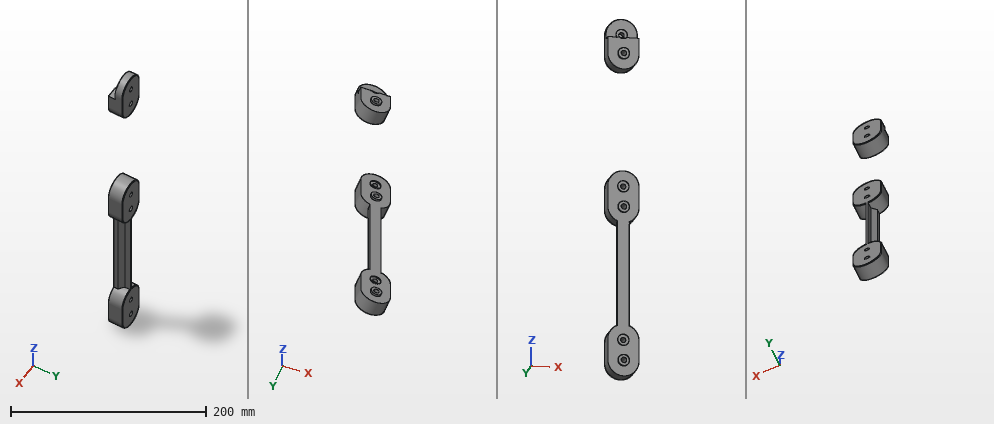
import cadquery as cq

total_height = 382.0
pad_width = 33.0
pad_radius = pad_width / 2
pad_thickness = 17.0
hole_spacing = 22.0
back_chamfer = 0.85

pad_height = pad_width + hole_spacing
pad_pitch = (total_height - pad_height) / 2

boss_diameter = 12.0
boss_height = 2.3
recess_diameter = 12.0
recess_depth = 1.0
boss_bore_diameter = 5.7
recess_bore_diameter = 5.5

bar_half_width = 6.0
bar_front_depth = 5.5
bar_side_bevel = 5.0

step_below_upper_hole = 5.0
step_depth = 8.0


def front_cylinder(diameter, y_start, y_end, z):
    """Cylinder along Y, centred on X = 0 at height z."""
    plane = cq.Workplane("XZ", origin=(0, y_start, z))
    return plane.circle(diameter / 2).extrude(y_start - y_end)


def pad_blank(z_bottom):
    """Round-ended plate with its front face on Y = 0 and a chamfered back rim."""
    z_middle = z_bottom + pad_height / 2
    blank = (
        cq.Workplane("XZ", origin=(0, 0, z_middle))
        .slot2D(pad_height, pad_width, angle=90)
        .extrude(-pad_thickness)
    )
    return blank.faces(">Y").chamfer(back_chamfer)


def add_snap_features(body, z_bottom):
    """Boss, recess and the two bores of the pad that starts at z_bottom."""
    z_boss = z_bottom + pad_radius
    z_recess = z_boss + hole_spacing
    body = body.union(front_cylinder(boss_diameter, -boss_height, pad_thickness / 2, z_boss))
    body = body.cut(front_cylinder(recess_diameter, 0, recess_depth, z_recess))
    body = body.cut(front_cylinder(boss_bore_diameter, -boss_height, pad_thickness, z_boss))
    return body.cut(front_cylinder(recess_bore_diameter, 0, pad_thickness, z_recess))


def connecting_bar():
    """Bar between the pad centres, narrower at the back than at the front."""
    back_half_width = bar_half_width - bar_side_bevel
    bevel_end = bar_front_depth + bar_side_bevel
    return (
        cq.Workplane("XY", origin=(0, 0, pad_height - pad_radius))
        .lineTo(bar_half_width, 0)
        .lineTo(bar_half_width, bar_front_depth)
        .lineTo(back_half_width, bevel_end)
        .lineTo(back_half_width, pad_thickness)
        .lineTo(0, pad_thickness)
        .mirrorY()
        .extrude(pad_pitch - hole_spacing)
    )


def make_strap():
    """Long body: two pads joined by the bar."""
    pad_bottoms = [0, pad_pitch]
    strap = connecting_bar()
    for z_bottom in pad_bottoms:
        strap = strap.union(pad_blank(z_bottom))
    for z_bottom in pad_bottoms:
        strap = add_snap_features(strap, z_bottom)
    return strap


def make_end_link():
    """Short body: one pad whose upper end is cut back to a thin tongue."""
    z_bottom = 2 * pad_pitch
    z_recess = z_bottom + pad_radius + hole_spacing
    z_step = z_recess - step_below_upper_hole
    link = add_snap_features(pad_blank(z_bottom), z_bottom)
    step = cq.Workplane("XY").box(
        pad_width, step_depth, total_height - z_step, centered=(True, False, False)
    )
    link = link.cut(step.translate((0, 0, z_step)))
    tongue_recess = front_cylinder(recess_diameter, step_depth, step_depth + recess_depth, z_recess)
    return link.cut(tongue_recess)


strap = make_strap()
end_link = make_end_link()

result = cq.Compound.makeCompound([strap.solids().val(), end_link.solids().val()])